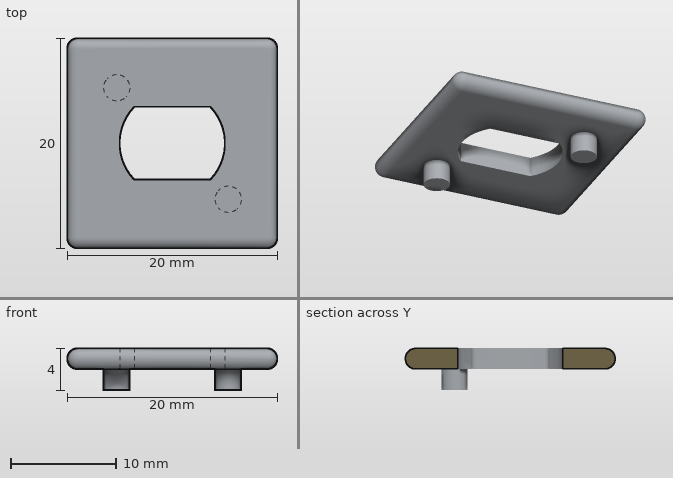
import cadquery as cq

plate_side = 20.0
plate_thickness = 2.0
rim_radius = plate_thickness / 2

opening_diameter = 10.0
opening_flat_distance = 6.9

peg_diameter = 2.5
peg_length = 2.0
peg_circle_diameter = 15.0
peg_angles = (135, 315)


def make_plate():
    """Square plate from Z = 0 up, with half-round sides and spherical corners."""
    blank = (
        cq.Workplane("XY")
        .box(plate_side, plate_side, plate_thickness, centered=(True, True, False))
        .edges("|Z or >Z")
        .fillet(rim_radius)
    )
    upper_envelope = (
        cq.Workplane("XY")
        .workplane(offset=rim_radius)
        .box(plate_side, plate_side, rim_radius, centered=(True, True, False))
    )
    upper_half = blank.intersect(upper_envelope)
    lower_half = upper_half.mirror("XY", (0, 0, rim_radius))
    return upper_half.union(lower_half, clean=False)


def make_opening():
    """Cutter for the opening: a round hole with two opposite flats."""
    disc = cq.Workplane("XY").circle(opening_diameter / 2).extrude(plate_thickness)
    band = (
        cq.Workplane("XY")
        .rect(opening_diameter, opening_flat_distance)
        .extrude(plate_thickness)
    )
    return disc.intersect(band)


def make_peg(angle):
    """Round peg hanging from the underside of the plate at the given angle."""
    peg = (
        cq.Workplane("XY")
        .center(peg_circle_diameter / 2, 0)
        .circle(peg_diameter / 2)
        .extrude(-peg_length)
    )
    return peg.rotate((0, 0, 0), (0, 0, 1), angle)


plate = make_plate().cut(make_opening(), clean=False)
for peg_angle in peg_angles:
    plate = plate.union(make_peg(peg_angle), clean=False)

result = cq.Workplane(plate.solids().val())